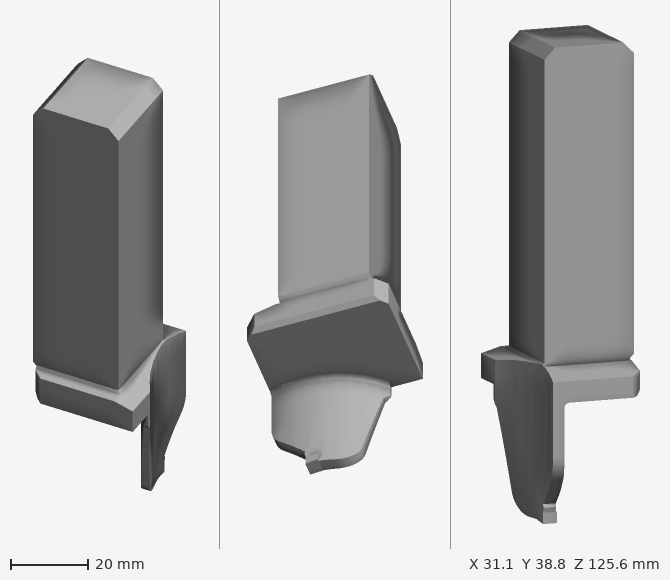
import cadquery as cq
import math

total_height = 125.6
shank_side = 25.0
shank_chamfer = 3.0

head_left = 1.1
head_right = 31.1
head_front = -3.9
head_back = 34.9
head_bottom = 33.7
head_top = 41.7
head_corner_chamfer = 3.0
head_bottom_chamfer = 1.3
head_slope = math.tan(math.radians(15))
foot_bevel = 0.8
ledge_width = 1.1
neck_bottom = 42.1

arc_center_y = 25.7
outer_face_x = 25.4
outer_face_radius = 37.0
inner_face_x = 21.9
inner_face_radius = 29.3
blade_front = 4.8
blade_bottom = 0.6
shoulder_top = (blade_front, 29.9)
shoulder_bottom = (6.3, 27.9)
heel = (12.0, blade_bottom)
back_corner = (head_back, 15.8)
insert_seat_z = 5.1
blade_root_radius = 1.4
blade_heel_radius = 6.9
blade_back_radius = 8.8

tip_y = 25.0
tip_height = 3.0
tip_x = 21.5
tip_right_x = 25.1
tip_front_bottom = (21.7, 0.5)
tip_front_top = (21.0, tip_height)
tip_back_bottom = (tip_y, 0)
tip_back_top = (tip_y, tip_height)
insert_clamped_outline = [(25.4, 4.4), (25.1, 5.3), (23.2, 9.0), (21.0, 9.0), (19.7, 6.8)]


def cylinder(face_x, radius):
    """Vertical cylinder whose leftmost line is at face_x."""
    return cq.Workplane("XY").center(face_x + radius, arc_center_y).circle(radius).extrude(total_height)


def side_prism(points):
    """Prism of a (Y, Z) outline, running from X = 0 to the right side of the head."""
    return cq.Workplane("YZ").polyline(points).close().extrude(head_right)


def make_shank():
    outline = [
        (head_left, head_top),
        (head_left, neck_bottom),
        (0, neck_bottom + head_left),
        (0, total_height - shank_chamfer),
        (shank_chamfer, total_height),
        (shank_side - shank_chamfer, total_height),
        (shank_side, total_height - shank_chamfer),
        (shank_side, head_top),
    ]
    return cq.Workplane("XZ").polyline(outline).close().extrude(-shank_side)


def make_head():
    slope_start_x = shank_side + foot_bevel
    right_drop = (head_right - slope_start_x) * head_slope
    outline = [
        (head_left + head_bottom_chamfer, head_bottom),
        (head_right, head_bottom),
        (head_right, head_top - right_drop),
        (slope_start_x, head_top),
        (head_left, head_top),
        (head_left, head_bottom + head_bottom_chamfer),
    ]
    plate = (
        cq.Workplane("XZ", origin=(0, head_front, 0)).polyline(outline).close()
        .extrude(head_front - head_back)
    )
    slope_start_y = shank_side + ledge_width
    back_drop = (head_back - slope_start_y) * head_slope
    plate = plate.cut(side_prism([
        (slope_start_y, head_top),
        (head_back, head_top),
        (head_back, head_top - back_drop),
    ]))
    for corner_y, inward in ((head_front, 1), (head_back, -1)):
        corner = [
            (head_left, corner_y),
            (head_left + head_corner_chamfer, corner_y),
            (head_left, corner_y + inward * head_corner_chamfer),
        ]
        plate = plate.cut(cq.Workplane("XY").polyline(corner).close().extrude(total_height))
    return plate


def make_foot():
    """Bevelled skirt where the front and right faces of the shank meet the head."""
    return (
        cq.Workplane("XY", origin=(0, 0, head_top + foot_bevel))
        .moveTo(head_left, 0).lineTo(shank_side, 0).lineTo(shank_side, shank_side)
        .lineTo(head_left, shank_side).close()
        .workplane(offset=-foot_bevel)
        .moveTo(head_left, -foot_bevel).lineTo(shank_side + foot_bevel, -foot_bevel)
        .lineTo(shank_side + foot_bevel, shank_side).lineTo(head_left, shank_side).close()
        .loft(ruled=True)
    )


def make_blade():
    outline = [
        (head_back, head_bottom),
        (blade_front, head_bottom),
        shoulder_top,
        shoulder_bottom,
        heel,
        (tip_y, blade_bottom),
        (tip_y, insert_seat_z),
        back_corner,
    ]
    blade = side_prism(outline)
    for corner, radius in ((heel, blade_heel_radius), (back_corner, blade_back_radius)):
        edge = cq.selectors.NearestToPointSelector((head_right / 2, *corner))
        blade = blade.edges(edge).fillet(radius)
    return blade.intersect(cylinder(inner_face_x, inner_face_radius))


def fillet_blade_root(body):
    """Round the inner corner between the blade's left face and the underside of the head."""
    root = cq.selectors.NearestToPointSelector((inner_face_x, arc_center_y, head_bottom))
    return body.edges(root).fillet(blade_root_radius)


def make_insert():
    tip_outline = [tip_front_top, tip_front_bottom, tip_back_bottom, tip_back_top]
    plate = side_prism(tip_outline + insert_clamped_outline).intersect(cylinder(inner_face_x, inner_face_radius))
    plate = plate.cut(cylinder(outer_face_x, outer_face_radius))
    tip = (
        cq.Workplane("YZ", origin=(tip_x, 0, 0)).polyline(tip_outline).close()
        .extrude(tip_right_x - tip_x)
    )
    return plate.union(tip)


insert = make_insert()

holder = make_head().union(make_shank()).union(make_foot())
holder = holder.union(make_blade())
holder = fillet_blade_root(holder)
holder = holder.cut(cylinder(outer_face_x, outer_face_radius))
holder = holder.cut(insert)

result = cq.Compound.makeCompound([holder.val(), insert.val()])